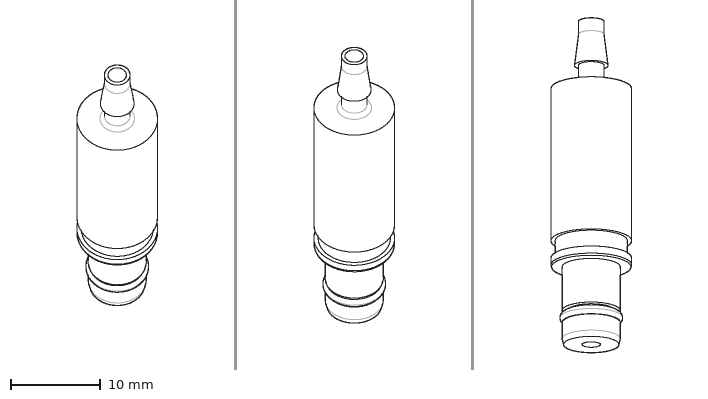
import cadquery as cq
import math

total_height = 37.6
plug_chamfer_top = 0.68
groove_bottom = 2.6
groove_top = 3.95
flange_bottom = 9.02
flange_top = 10.08
body_bottom = 12.07
body_top = 29.78
barb_bottom = 32.5
barb_top = 36.1

body_radius = 9.0 / 2
neck_radius = 4.02
plug_radius = 3.25
groove_radius = 2.6
tube_radius = 1.43
barb_radius = 1.88
bore_radius = 1.0

plug_chamfer_width = 0.15
flange_chamfer_height = 0.23
flange_chamfer_width = 0.08
root_fillet = 0.5

ring_outer_radius = 3.5
ring_section_radius = 0.55
ring_half_height = 0.53
ring_center_radius = ring_outer_radius - ring_section_radius
ring_center_height = groove_bottom + ring_half_height
ring_top = ring_center_height + ring_half_height
ring_flat_radius = ring_center_radius + math.sqrt(ring_section_radius**2 - ring_half_height**2)


def make_plug():
    """Lower plug with a chamfered end and a groove for the sealing ring."""
    profile = [
        (0, 0),
        (plug_radius - plug_chamfer_width, 0),
        (plug_radius, plug_chamfer_top),
        (plug_radius, groove_bottom),
        (groove_radius, groove_bottom),
        (groove_radius, groove_top),
        (plug_radius, groove_top),
        (plug_radius, flange_bottom),
        (0, flange_bottom),
    ]
    return cq.Workplane("XZ").polyline(profile).close().revolve(360, (0, 0), (0, 1))


def make_body():
    """Flange, recessed neck and main cylinder."""
    profile = [
        (0, flange_bottom),
        (body_radius - flange_chamfer_width, flange_bottom),
        (body_radius, flange_bottom + flange_chamfer_height),
        (body_radius, flange_top),
        (neck_radius, flange_top),
        (neck_radius, body_bottom),
        (body_radius, body_bottom),
        (body_radius, body_top),
        (0, body_top),
    ]
    return cq.Workplane("XZ").polyline(profile).close().revolve(360, (0, 0), (0, 1))


def make_hose_barb():
    """Tube with a filleted root and a conical barb."""
    return (
        cq.Workplane("XZ")
        .moveTo(0, body_top)
        .lineTo(tube_radius + root_fillet, body_top)
        .radiusArc((tube_radius, body_top + root_fillet), root_fillet)
        .lineTo(tube_radius, barb_bottom)
        .lineTo(barb_radius, barb_bottom)
        .lineTo(tube_radius, barb_top)
        .lineTo(tube_radius, total_height)
        .lineTo(0, total_height)
        .close()
        .revolve(360, (0, 0), (0, 1))
    )


def make_sealing_ring():
    """Ring with a rounded rim and flat upper and lower faces, seated in the plug groove."""
    return (
        cq.Workplane("XZ")
        .moveTo(0, groove_bottom)
        .lineTo(ring_flat_radius, groove_bottom)
        .radiusArc((ring_outer_radius, ring_center_height), -ring_section_radius)
        .radiusArc((ring_flat_radius, ring_top), -ring_section_radius)
        .lineTo(0, ring_top)
        .close()
        .revolve(360, (0, 0), (0, 1))
    )


bore = cq.Workplane("XY").circle(bore_radius).extrude(total_height)

result = (
    make_plug()
    .union(make_body())
    .union(make_hose_barb())
    .union(make_sealing_ring())
    .cut(bore)
)